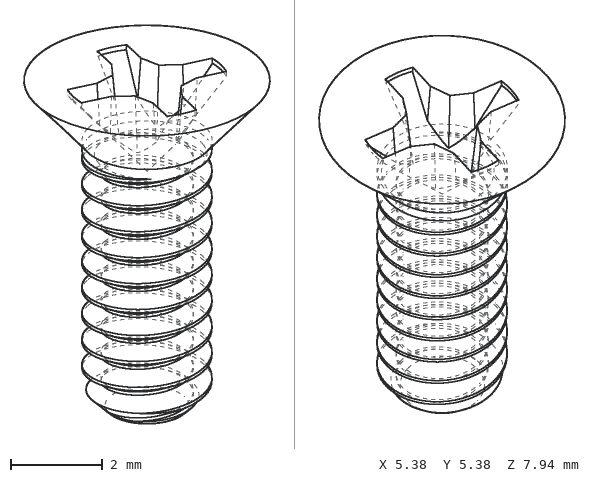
import cadquery as cq
import math


head_diameter = 5.38
screw_length = 7.9375
countersink_angle = 82.0
collar_height = 0.24

major_diameter = 2.845
pitch = 0.635
flank_angle = 60.0
crest_width = pitch / 8
root_width = pitch / 8
first_groove_height = 0.207
groove_clearance = 0.04

tip_radius = 0.92

recess_radius = 1.79
recess_lip_depth = 0.12
arm_half_width = 0.355
arm_root_distance = 1.04
inner_corner = 0.56
wall_draft = 5.0
recess_cone_angle = 40.5

head_radius = head_diameter / 2
major_radius = major_diameter / 2
half_flank_tangent = math.tan(math.radians(flank_angle / 2))
thread_depth = (pitch - crest_width - root_width) / (2 * half_flank_tangent)
minor_radius = major_radius - thread_depth
head_height = (head_radius - major_radius) / math.tan(math.radians(countersink_angle / 2))
collar_bottom_z = -head_height - collar_height
tip_z = -screw_length
chamfer_height = major_radius - tip_radius
recess_depth = recess_lip_depth + recess_radius / math.tan(math.radians(recess_cone_angle))


def revolve_profile(points):
    """Revolve a closed (radius, z) outline about the Z axis."""
    return cq.Workplane("XZ").polyline(points).close().revolve(360, (0, 0, 0), (0, 1, 0))


def make_head():
    """Countersunk cone with the plain collar below it."""
    return revolve_profile([
        (0, 0),
        (head_radius, 0),
        (major_radius, -head_height),
        (major_radius, collar_bottom_z),
        (0, collar_bottom_z),
    ])


def make_groove_turn(start_z):
    """One turn of the helical V groove with a flat root, starting on the +X side at start_z."""
    outer_radius = major_radius + groove_clearance
    root_half = root_width / 2
    mouth_half = root_half + (outer_radius - minor_radius) * half_flank_tangent
    helix = cq.Wire.makeHelix(pitch, pitch, minor_radius)
    groove = (
        cq.Workplane("XZ")
        .polyline([
            (minor_radius, -root_half),
            (outer_radius, -mouth_half),
            (outer_radius, mouth_half),
            (minor_radius, root_half),
        ])
        .close()
        .sweep(cq.Workplane(helix), isFrenet=True)
    )
    return groove.translate((0, 0, start_z))


def make_shank():
    """Chamfered shank, threaded turn by turn from below the tip to past the collar."""
    shank = revolve_profile([
        (0, collar_bottom_z),
        (major_radius, collar_bottom_z),
        (major_radius, tip_z + chamfer_height),
        (tip_radius, tip_z),
        (0, tip_z),
    ])
    first_turn_z = tip_z + first_groove_height - pitch
    turn_count = math.ceil((collar_bottom_z + pitch / 2 - first_turn_z) / pitch)
    for turn in range(turn_count):
        shank = shank.cut(make_groove_turn(first_turn_z + turn * pitch))
    return shank


def make_recess():
    """Drafted cross trimmed by the revolved envelope of the driver tip."""
    arm_end = 2 * recess_radius
    arm = [
        (inner_corner, -inner_corner),
        (arm_root_distance, -arm_half_width),
        (arm_end, -arm_half_width),
        (arm_end, arm_half_width),
        (arm_root_distance, arm_half_width),
    ]
    outline = []
    for _ in range(4):
        outline.extend(arm)
        arm = [(-y, x) for x, y in arm]
    wall_inset = recess_depth * math.tan(math.radians(wall_draft))
    mouth = cq.Workplane("XY").polyline(outline).close().val()
    floor = mouth.offset2D(-wall_inset, "intersection")[0].translate(cq.Vector(0, 0, -recess_depth))
    cross = cq.Workplane(cq.Solid.makeLoft([mouth, floor], True))
    envelope = revolve_profile([
        (0, 0),
        (recess_radius, 0),
        (recess_radius, -recess_lip_depth),
        (0, -recess_depth),
    ])
    return cross.intersect(envelope)


result = make_head().union(make_shank()).cut(make_recess())